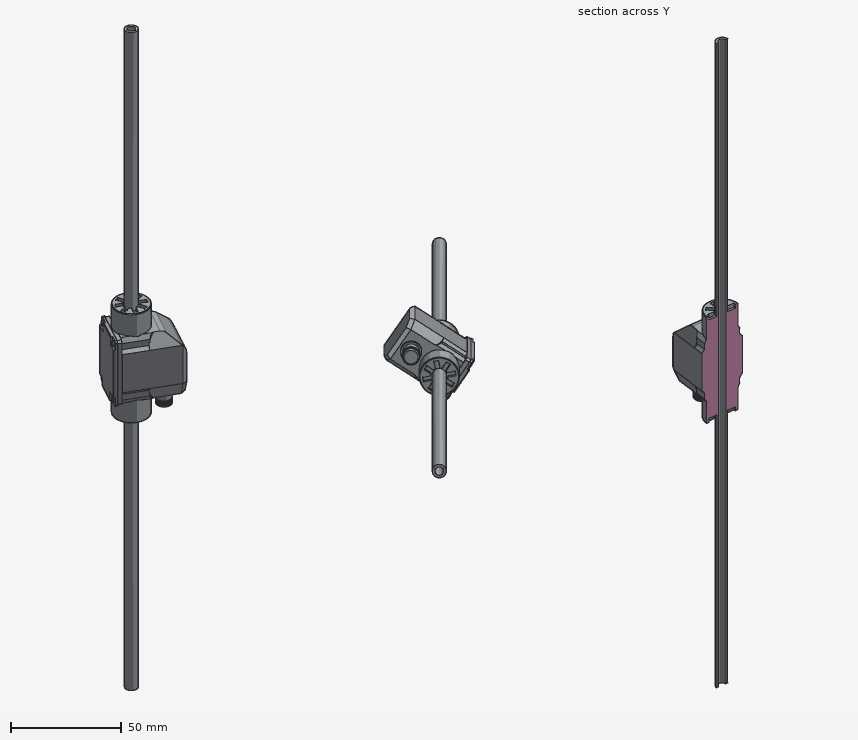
import cadquery as cq
import math

ROD_LENGTH = 358.0
ROD_DIAMETER = 6.5
ROD_BORE = 4.0

BODY_WIDTH = 23.3
BODY_HEIGHT = 35.8
FRONT_DEPTH = 11.8
BACK_DEPTH = 23.3

BARREL_LENGTH = 59.5
BARREL_DIAMETER = 18.3
BARREL_CHAMFER = 0.5

SPLINE_COUNT = 8
SPLINE_ROOT_DIAMETER = 8.0
SPLINE_TIP_RADIUS = 7.5
SPLINE_WIDTH = 2.0
SPLINE_DEPTH = 2.0

SLOPE_START_Y = 13.0
SLOPE_DROP = 9.5
TOP_BLEND_RADIUS = 4.3
BACK_BLEND_RADIUS = 8.0
BACK_CHAMFER_DEPTH = 2.0
BACK_CHAMFER_WIDTH = 1.0

SIDE_FLAT_HEIGHT = 20.8
REAR_BEVEL_WIDTH = 3.2
REAR_BEVEL_START_Y = 5.5
SHOULDER_END_Y = 9.3
LEDGE_WIDTH = 1.5
LEDGE_RISE = 1.8
LEDGE_TOP_BEVEL = 2.5

COVER_THICKNESS = 2.0
COVER_CORNER_CHAMFER = 1.0
COVER_FACE_CHAMFER = 0.5
GROOVE_WIDTH = 2.0
GROOVE_DEPTH = 0.5

POCKET_DEPTH = 1.0
LARGE_POCKET_WIDTH = 6.0
LARGE_POCKET_HEIGHT = 5.0
SMALL_POCKET_WIDTH = 4.5
SMALL_POCKET_HEIGHT = 4.3
SCREW_DIAMETER = 2.5
SCREW_EDGE_DISTANCE = 3.0
SCREW_HEAD_HEIGHT = 0.7

PLUG_Y = 15.5
PLUG_DIAMETER = 8.0
PLUG_BOTTOM_Z = -27.5
PLUG_CHAMFER = 0.7
COLLAR_DIAMETER = 9.5
COLLAR_HEIGHT = 1.8
RING_GROOVE_COUNT = 2
RING_GROOVE_WIDTH = 0.7
RING_GROOVE_PITCH = 1.5
RING_GROOVE_DEPTH = 0.5

HALF_WIDTH = BODY_WIDTH / 2
HALF_HEIGHT = BODY_HEIGHT / 2
HALF_FLAT = SIDE_FLAT_HEIGHT / 2
COVER_BACK_Y = -FRONT_DEPTH + COVER_THICKNESS
POCKET_FLOOR_Y = -FRONT_DEPTH + POCKET_DEPTH
BODY_FRONT_Y = COVER_BACK_Y + GROOVE_WIDTH


def cylinder(diameter, bottom, top, y=0.0):
    """Upright cylinder between two heights."""
    return cq.Workplane("XY", origin=(0, y, bottom)).circle(diameter / 2).extrude(top - bottom)


def block_along_y(outline, start, end):
    """Extrude an X-Z outline from one Y position to another."""
    return cq.Workplane("XZ", origin=(0, end, 0)).polyline(outline).close().extrude(end - start)


def mirrored_outline(quarter):
    """Closed outline from a quarter run of points going from the right side to the top."""
    right = [(x, -z) for x, z in reversed(quarter)] + quarter
    left = [(-x, -z) for x, z in right]
    return right + left


def make_side_profile():
    """Side silhouette of the body behind the cover, as wide as the body."""
    slope_end = (BACK_DEPTH, HALF_HEIGHT - SLOPE_DROP)
    profile = (
        cq.Workplane("YZ", origin=(-HALF_WIDTH, 0, 0))
        .moveTo(BODY_FRONT_Y, -HALF_HEIGHT)
        .lineTo(BACK_DEPTH, -HALF_HEIGHT)
        .lineTo(*slope_end)
        .lineTo(SLOPE_START_Y, HALF_HEIGHT)
        .lineTo(BODY_FRONT_Y, HALF_HEIGHT)
        .close()
        .extrude(BODY_WIDTH)
    )
    profile = profile.edges(cq.NearestToPointSelector((0, *slope_end))).fillet(BACK_BLEND_RADIUS)
    slope_start = (0, SLOPE_START_Y, HALF_HEIGHT)
    return profile.edges(cq.NearestToPointSelector(slope_start)).fillet(TOP_BLEND_RADIUS)


def make_front_plan(inner_x):
    """Plan of the front part: full width, then hollow arcs running in to the bevelled rear."""
    arc_x = inner_x + (HALF_WIDTH - inner_x) * (1 - math.sqrt(0.5))
    arc_y = SHOULDER_END_Y - (SHOULDER_END_Y - REAR_BEVEL_START_Y) * math.sqrt(0.5)
    return (
        cq.Workplane("XY", origin=(0, 0, -HALF_HEIGHT))
        .moveTo(-HALF_WIDTH, BODY_FRONT_Y)
        .lineTo(HALF_WIDTH, BODY_FRONT_Y)
        .lineTo(HALF_WIDTH, REAR_BEVEL_START_Y)
        .threePointArc((arc_x, arc_y), (inner_x, SHOULDER_END_Y))
        .lineTo(-inner_x, SHOULDER_END_Y)
        .threePointArc((-arc_x, arc_y), (-HALF_WIDTH, REAR_BEVEL_START_Y))
        .close()
        .extrude(BODY_HEIGHT)
    )


def make_body():
    """Housing: bevelled rear, ledged front, both trimmed to the side silhouette."""
    rear_quarter = [(HALF_WIDTH, HALF_FLAT), (HALF_WIDTH - REAR_BEVEL_WIDTH, HALF_HEIGHT)]
    rear = block_along_y(mirrored_outline(rear_quarter), REAR_BEVEL_START_Y, BACK_DEPTH)
    rear = rear.faces(">Y").edges().chamfer(BACK_CHAMFER_DEPTH, BACK_CHAMFER_WIDTH)

    wall_x = HALF_WIDTH - LEDGE_WIDTH
    front_quarter = [
        (HALF_WIDTH, HALF_FLAT),
        (wall_x, HALF_FLAT + LEDGE_RISE),
        (wall_x, HALF_HEIGHT - LEDGE_TOP_BEVEL),
        (wall_x - LEDGE_WIDTH, HALF_HEIGHT),
    ]
    front = block_along_y(mirrored_outline(front_quarter), BODY_FRONT_Y, SHOULDER_END_Y)
    front = front.intersect(make_front_plan(HALF_WIDTH - REAR_BEVEL_WIDTH))
    return rear.union(front).intersect(make_side_profile())


def make_screw(x, z):
    """Round screw head standing on a pocket floor, below the cover face."""
    head = cq.Workplane("XZ", origin=(x, POCKET_FLOOR_Y, z)).circle(SCREW_DIAMETER / 2)
    return head.extrude(SCREW_HEAD_HEIGHT)


def make_cover():
    """Front cover plate with its groove neck and a screw in each corner pocket."""
    cover = cq.Workplane("XY").box(BODY_WIDTH, COVER_THICKNESS, BODY_HEIGHT)
    cover = cover.translate((0, COVER_BACK_Y - COVER_THICKNESS / 2, 0))
    cover = cover.edges("|Y").chamfer(COVER_CORNER_CHAMFER)
    cover = cover.faces("<Y").edges().chamfer(COVER_FACE_CHAMFER)
    screws = cq.Workplane("XY")
    for x_side in (-1, 1):
        for z_side in (-1, 1):
            large = x_side != z_side
            width = LARGE_POCKET_WIDTH if large else SMALL_POCKET_WIDTH
            height = LARGE_POCKET_HEIGHT if large else SMALL_POCKET_HEIGHT
            pocket = cq.Workplane("XY").box(width, POCKET_DEPTH, height)
            pocket_x = x_side * (HALF_WIDTH - width / 2)
            pocket_z = z_side * (HALF_HEIGHT - height / 2)
            cover = cover.cut(pocket.translate((pocket_x, POCKET_FLOOR_Y - POCKET_DEPTH / 2, pocket_z)))
            screw_x = x_side * (HALF_WIDTH - SCREW_EDGE_DISTANCE)
            screw_z = z_side * (HALF_HEIGHT - SCREW_EDGE_DISTANCE)
            screws = screws.union(make_screw(screw_x, screw_z))
    neck_x = HALF_WIDTH - GROOVE_DEPTH
    neck_z = HALF_HEIGHT - GROOVE_DEPTH
    neck = cq.Workplane("XY").box(2 * neck_x, GROOVE_WIDTH, 2 * neck_z)
    neck = neck.translate((0, COVER_BACK_Y + GROOVE_WIDTH / 2, 0))
    neck = neck.edges("|Y").chamfer(COVER_CORNER_CHAMFER)
    return cover.union(neck).union(screws)


def make_spline_recess():
    """Round recess with radial slots, rising from Z = 0."""
    recess = cylinder(SPLINE_ROOT_DIAMETER, 0, SPLINE_DEPTH)
    slot = cq.Workplane("XY").rect(2 * SPLINE_TIP_RADIUS, SPLINE_WIDTH).extrude(SPLINE_DEPTH)
    for index in range(SPLINE_COUNT // 2):
        recess = recess.union(slot.rotate((0, 0, 0), (0, 0, 1), index * 360 / SPLINE_COUNT))
    return recess


def make_barrel():
    """Barrel through the body with a chamfer and a spline recess at both ends."""
    end_z = BARREL_LENGTH / 2
    barrel = cylinder(BARREL_DIAMETER, -end_z, end_z).edges("%CIRCLE").chamfer(BARREL_CHAMFER)
    recess = make_spline_recess()
    for bottom in (-end_z, end_z - SPLINE_DEPTH):
        barrel = barrel.cut(recess.translate((0, 0, bottom)))
    return barrel


def make_plug():
    """Connector plug with a collar and ring grooves near its lower end."""
    plug = cylinder(PLUG_DIAMETER, PLUG_BOTTOM_Z, -HALF_HEIGHT, PLUG_Y)
    plug = plug.faces("<Z").edges().chamfer(PLUG_CHAMFER)
    for index in range(RING_GROOVE_COUNT):
        bottom = PLUG_BOTTOM_Z + PLUG_CHAMFER + RING_GROOVE_WIDTH + index * RING_GROOVE_PITCH
        top = bottom + RING_GROOVE_WIDTH
        core = cylinder(PLUG_DIAMETER - 2 * RING_GROOVE_DEPTH, bottom, top, PLUG_Y)
        plug = plug.cut(cylinder(PLUG_DIAMETER, bottom, top, PLUG_Y).cut(core))
    collar_bottom = -HALF_HEIGHT - COLLAR_HEIGHT
    return plug.union(cylinder(COLLAR_DIAMETER, collar_bottom, -HALF_HEIGHT, PLUG_Y))


rod = cylinder(ROD_DIAMETER, -ROD_LENGTH / 2, ROD_LENGTH / 2)
bore = cylinder(ROD_BORE, -ROD_LENGTH / 2, ROD_LENGTH / 2)
result = make_body().union(make_cover()).union(make_barrel()).union(make_plug()).union(rod).cut(bore)